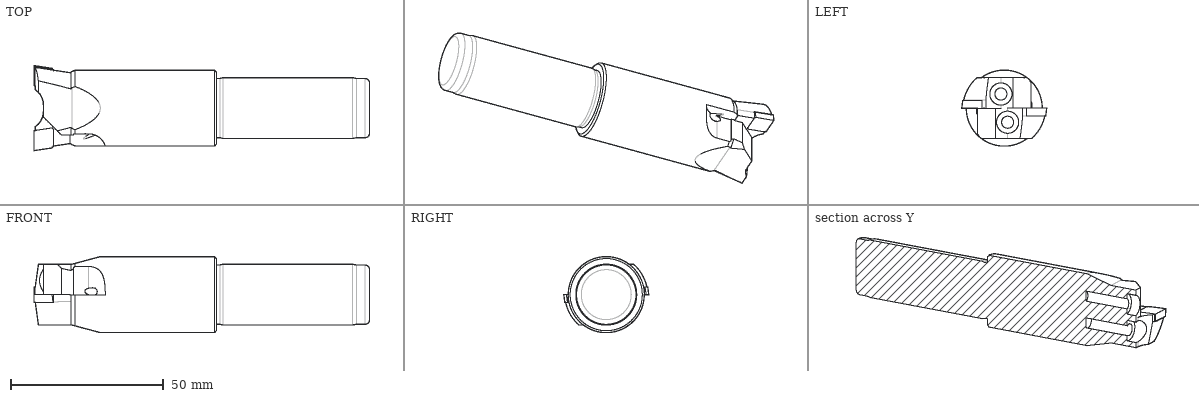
import cadquery as cq
import math


total_length = 110.0
cone_start_radius = 13.6
cone_angle = 8.5
cone_end_x = 12.1
collar_start_x = 13.5
collar_radius = 12.48
collar_end_x = 59.8
collar_chamfer = 0.7
shank_radius = 10.0
relief_radius = 9.74
neck_end_x = 60.9
shank_start_x = 61.9
shank_end_x = 104.4
tail_start_x = 105.7
tail_fillet = 1.5

flat_height = 10.0
flat_end_x = 12.5
ramp_angle = 15.0
front_x = 0.4
front_upright_height = 2.6
front_lean_angle = 8.0

gullet_x = 3.1
gullet_arc_radius = 5.9
gullet_arc_y = 1.1

rake_height = 0.1
flute_corner_y = -2.9
flute_wall_y = -8.8
flute_end_x = 13.0
pocket_floor_z = -0.1
pocket_start_x = 11.8
pocket_wall_y = -8.42
pocket_arc_x = 17.9
pocket_arc_radius = 5.7

side_flat_inset = 0.2
side_flat_depth = 2.6

bore_y = 1.1
bore_z = 4.6
counterbore_diameter = 7.3
counterbore_floor_x = 6.4
bore_diameter = 4.0
bore_end_x = 22.0

coolant_diameter = 2.5
coolant_outlet = cq.Vector(19.1, -8.6, 1.0)
coolant_yaw = 27.0
coolant_rise = 3.0
coolant_reach = 4.4
coolant_depth = 8.8

insert_tip_y = 14.0
insert_width = 6.6
insert_length = 6.4
insert_thickness = 2.6
insert_relief = 0.3
insert_corner = 0.4

clear = 33.0
cone_slope = math.tan(math.radians(cone_angle))


def half_turn(shape):
    return shape.rotate((0, 0, 0), (1, 0, 0), 180)


def prism(points, z_bottom, z_top):
    """Extrude an XY outline between two heights."""
    return cq.Workplane("XY", origin=(0, 0, z_bottom)).polyline(points).close().extrude(z_top - z_bottom)


def x_cylinder(diameter, x_end):
    """Cylinder on the front hole axis, from the front to x_end."""
    return cq.Workplane("YZ", origin=(0, bore_y, bore_z)).circle(diameter / 2).extrude(x_end)


def turned_blank():
    return (
        cq.Workplane("XY")
        .moveTo(0, 0)
        .lineTo(0, cone_start_radius)
        .lineTo(cone_end_x, cone_start_radius - cone_end_x * cone_slope)
        .lineTo(collar_start_x, collar_radius)
        .lineTo(collar_end_x - collar_chamfer, collar_radius)
        .lineTo(collar_end_x, collar_radius - collar_chamfer)
        .lineTo(collar_end_x, relief_radius)
        .lineTo(neck_end_x, relief_radius)
        .lineTo(shank_start_x, shank_radius)
        .lineTo(shank_end_x, shank_radius)
        .lineTo(tail_start_x, relief_radius)
        .lineTo(total_length, relief_radius)
        .lineTo(total_length, 0)
        .close()
        .revolve(360, (0, 0, 0), (1, 0, 0))
        .faces(">X")
        .edges()
        .fillet(tail_fillet)
    )


def flat_cutter():
    """Flat on top of the head, running out through a ramp."""
    ramp_rise = clear * math.tan(math.radians(ramp_angle))
    outline = [
        (-clear, flat_height),
        (flat_end_x, flat_height),
        (flat_end_x + clear, flat_height + ramp_rise),
        (-clear, flat_height + ramp_rise),
    ]
    return cq.Workplane("XZ").polyline(outline).close().extrude(clear, both=True)


def front_cutter():
    """Front face of the upper half, on its +Y side: upright at first, then leaning back."""
    lean = (clear - front_upright_height) * math.tan(math.radians(front_lean_angle))
    outline = [
        (-clear, -rake_height),
        (front_x, -rake_height),
        (front_x, front_upright_height),
        (front_x + lean, clear),
        (-clear, clear),
    ]
    return cq.Workplane("XZ").polyline(outline).close().extrude(-clear)


def gullet_cutter():
    """Hollow front of the upper half, on its +Y side: a flat leading into an arc."""
    centre_x = gullet_x - gullet_arc_radius
    half_angle = math.radians(45)
    arc_middle = (
        centre_x + gullet_arc_radius * math.cos(half_angle),
        gullet_arc_y + gullet_arc_radius * math.sin(half_angle),
    )
    return (
        cq.Workplane("XY", origin=(0, 0, -rake_height))
        .moveTo(-clear, 0)
        .lineTo(gullet_x, 0)
        .lineTo(gullet_x, gullet_arc_y)
        .threePointArc(arc_middle, (centre_x, gullet_arc_y + gullet_arc_radius))
        .lineTo(-clear, gullet_arc_y + gullet_arc_radius)
        .close()
        .extrude(clear)
    )


def flute_cutter():
    """Chip space above the rake: the gullet flat, a 45 degree wall and a straight wall."""
    slant_end_x = gullet_x + flute_corner_y - flute_wall_y
    outline = [
        (-clear, 0),
        (gullet_x, 0),
        (gullet_x, flute_corner_y),
        (slant_end_x, flute_wall_y),
        (flute_end_x, flute_wall_y),
        (flute_end_x, -clear),
        (-clear, -clear),
    ]
    return prism(outline, rake_height, clear)


def pocket_cutter():
    """Round-ended run-out of the flute in the collar."""
    centre_y = pocket_wall_y - pocket_arc_radius
    straight = prism(
        [
            (pocket_start_x, flute_wall_y),
            (flute_end_x, flute_wall_y),
            (flute_end_x, pocket_wall_y),
            (pocket_arc_x, pocket_wall_y),
            (pocket_arc_x, -clear),
            (pocket_start_x, -clear),
        ],
        pocket_floor_z,
        clear,
    )
    round_end = (
        cq.Workplane("XY", origin=(pocket_arc_x, centre_y, pocket_floor_z))
        .circle(pocket_arc_radius)
        .extrude(clear)
    )
    beyond_straight = (
        cq.Workplane("XY", origin=(pocket_arc_x, 0, 0))
        .box(clear, 2 * clear, 2 * clear, centered=(False, True, True))
    )
    round_end = round_end.intersect(beyond_straight)
    return straight.union(round_end)


def side_flat_cutter():
    """Flat just below the rake, behind the insert and parallel to the cone."""
    start_x = insert_length - insert_corner
    start_y = side_flat_inset - cone_start_radius + start_x * cone_slope
    end_y = side_flat_inset - cone_start_radius + cone_end_x * cone_slope
    outline = [
        (start_x, start_y),
        (cone_end_x, end_y),
        (cone_end_x, -clear),
        (start_x, -clear),
    ]
    return prism(outline, -side_flat_depth, rake_height)


def front_hole_cutter():
    return x_cylinder(counterbore_diameter, counterbore_floor_x).union(x_cylinder(bore_diameter, bore_end_x))


def coolant_cutter():
    yaw = math.radians(coolant_yaw)
    inward = cq.Vector(math.cos(yaw), math.sin(yaw), -math.tan(math.radians(coolant_rise))).normalized()
    start = coolant_outlet - inward * coolant_reach
    length = coolant_reach + coolant_depth
    return cq.Workplane(cq.Solid.makeCylinder(coolant_diameter / 2, length, start, inward))


def make_insert():
    """Insert with its rake face up, tapering inward below the outer cutting edge."""
    inner_y = insert_width - insert_tip_y
    taper = insert_length * cone_slope
    outline = [
        (0, -insert_tip_y),
        (insert_length, taper - insert_tip_y),
        (insert_length, inner_y + taper),
        (0, inner_y),
    ]
    blank = prism(outline, rake_height - insert_thickness, rake_height)
    blank = blank.edges("|Z and >X").chamfer(insert_corner)
    relief = (
        cq.Workplane("YZ")
        .polyline([
            (-insert_tip_y, rake_height),
            (insert_relief - insert_tip_y, rake_height - insert_thickness),
            (-insert_tip_y - clear, rake_height - insert_thickness),
            (-insert_tip_y - clear, rake_height),
        ])
        .close()
        .extrude(clear, both=True)
        .rotate((0, -insert_tip_y, 0), (0, -insert_tip_y, 1), cone_angle)
    )
    return blank.cut(relief)


def make_body(inserts):
    body = turned_blank()
    cutters = [
        flat_cutter(),
        front_cutter(),
        gullet_cutter(),
        flute_cutter(),
        pocket_cutter(),
        side_flat_cutter(),
        front_hole_cutter(),
        coolant_cutter(),
    ]
    for cutter in cutters:
        body = body.cut(cutter).cut(half_turn(cutter))
    for insert in inserts:
        body = body.cut(insert)
    return body


lower_insert = make_insert()
inserts = [lower_insert, half_turn(lower_insert)]
body = make_body(inserts)

result = cq.Compound.makeCompound([*body.solids().vals(), *[insert.solids().val() for insert in inserts]])